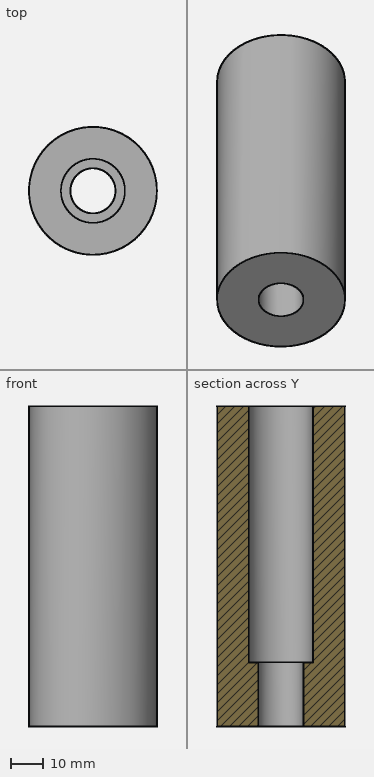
import cadquery as cq

outer_diameter = 40.0
length = 100.0
counterbore_diameter = 20.0
counterbore_depth = 80.0
bore_diameter = 14.0


def make_sleeve():
    """Plain cylinder standing on the XY plane, axis along Z."""
    return cq.Workplane("XY").circle(outer_diameter / 2).extrude(length)


def cut_stepped_bore(body):
    """Through bore, widened by a flat-bottomed counterbore at the top end."""
    return (
        body.faces(">Z")
        .workplane()
        .cboreHole(bore_diameter, counterbore_diameter, counterbore_depth)
    )


result = cut_stepped_bore(make_sleeve())